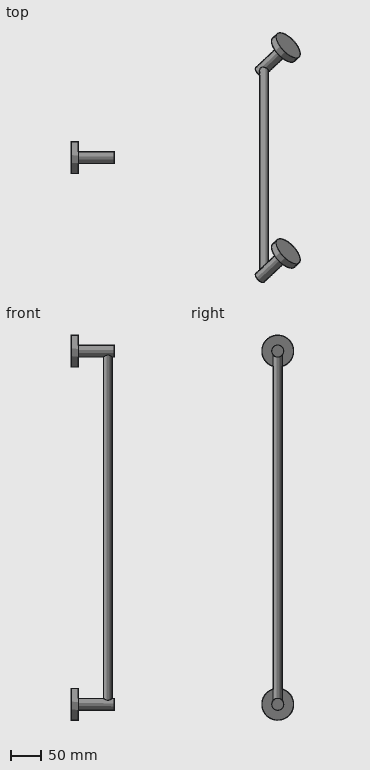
import cadquery as cq

flange_diameter = 53.0
flange_thickness = 12.0

post_diameter = 20.0
reach = 72.0

rail_diameter = 15.0
rail_setback = 11.0
rail_x = reach - rail_setback

overall_height = 639.0
post_spacing = overall_height - flange_diameter


def cylinder_along_x(diameter, length, z):
    """Cylinder from the wall plane X = 0, centred on height z."""
    return cq.Workplane("YZ").center(0, z).circle(diameter / 2).extrude(length)


def bracket(z):
    """Round flange with its post."""
    flange = cylinder_along_x(flange_diameter, flange_thickness, z)
    post = cylinder_along_x(post_diameter, reach, z)
    return flange.union(post)


def rail():
    """Rail whose ends lie on the post axes, so it merges into both posts."""
    lower_end = cq.Workplane("XY", origin=(rail_x, 0, -post_spacing / 2))
    return lower_end.circle(rail_diameter / 2).extrude(post_spacing)


result = rail()
for side in (-1, 1):
    result = result.union(bracket(side * post_spacing / 2))